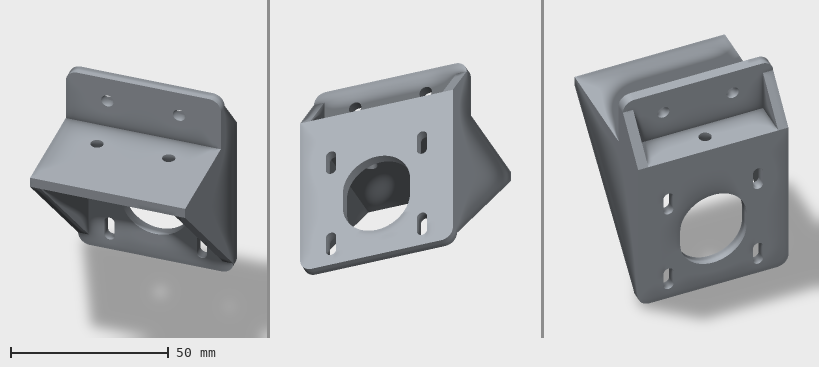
import cadquery as cq

width = 52.0
depth = 50.0
height = 75.0
wall = 3.5
corner_radius = 4.0

shelf_top = 56.5
shelf_bottom = shelf_top - wall
upper_plate_rear = -12.0
upper_plate_front = upper_plate_rear - wall

screw_diameter = 4.2
screw_spacing = 24.0
upper_screw_z = height - 8.6
shelf_screw_y = -25.6
rear_screw_y = -6.45

motor_center_z = 23.4
motor_spacing = 31.0
motor_slot_length = 8.5
motor_slot_width = 3.45
window_length = 28.0
window_width = 22.95


def block(y_front, y_rear, z_low, z_high):
    """Full-width block between the given Y and Z limits."""
    return cq.Workplane("XY").box(
        width, y_rear - y_front, z_high - z_low, centered=(True, False, False)
    ).translate((0, y_front, z_low))


def side_wall(x_start):
    """Gusset joining the motor plate, the shelf and the upper plate."""
    outline = [
        (0, corner_radius),
        (0, shelf_top),
        (upper_plate_rear, height - corner_radius),
        (upper_plate_front, height - corner_radius),
        (upper_plate_front, shelf_top),
        (-depth, shelf_top),
        (-depth, shelf_bottom),
        (-wall, corner_radius),
    ]
    plane = cq.Workplane("YZ", origin=(x_start, 0, 0))
    return plane.polyline(outline).close().extrude(wall)


def shelf_screw_cutters(points):
    """Cylinders that cut screw holes through the shelf."""
    plane = cq.Workplane("XY", origin=(0, 0, shelf_bottom))
    return plane.pushPoints(points).circle(screw_diameter / 2).extrude(wall)


motor_plate = block(-wall, 0, 0, shelf_top)
motor_plate = motor_plate.edges("|Y and <Z").fillet(corner_radius)
upper_plate = block(upper_plate_front, upper_plate_rear, shelf_bottom, height)
upper_plate = upper_plate.edges("|Y and >Z").fillet(corner_radius)
shelf = block(-depth, 0, shelf_bottom, shelf_top)

body = motor_plate.union(upper_plate).union(shelf)
for wall_x in (-width / 2, width / 2 - wall):
    body = body.union(side_wall(wall_x))

screw_x = screw_spacing / 2
body = body.cut(shelf_screw_cutters([(-screw_x, shelf_screw_y), (screw_x, shelf_screw_y), (0, rear_screw_y)]))
upper_holes = (
    cq.Workplane("XZ", origin=(0, upper_plate_rear, upper_screw_z))
    .pushPoints([(-screw_x, 0), (screw_x, 0)])
    .circle(screw_diameter / 2)
    .extrude(wall)
)
body = body.cut(upper_holes)

motor_plane = cq.Workplane("XZ", origin=(0, 0, motor_center_z))
window = motor_plane.slot2D(window_length, window_width, 90).extrude(wall)
slots = (
    motor_plane.rect(motor_spacing, motor_spacing, forConstruction=True)
    .vertices()
    .slot2D(motor_slot_length, motor_slot_width, 90)
    .extrude(wall)
)
result = body.cut(window).cut(slots).clean()